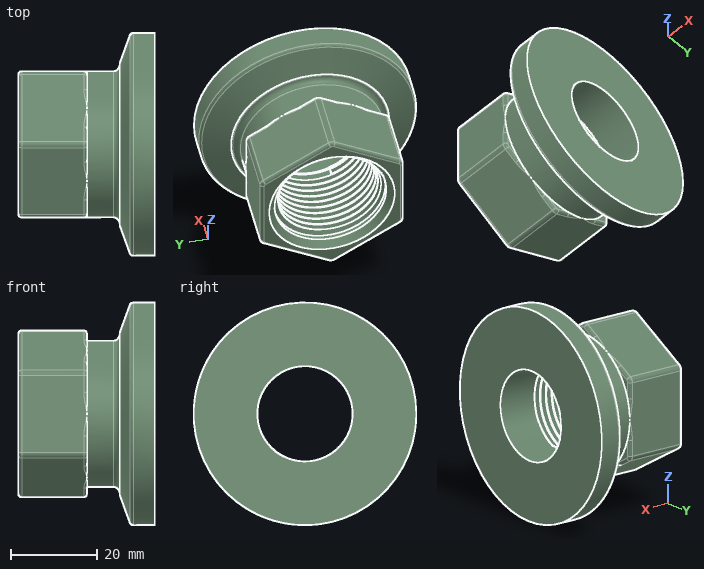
import cadquery as cq
import math

LENGTH = 31.75
BORE_DIA = 22.1

HEX_SIDES = 6
HEX_FLATS = 34.04
HEX_LENGTH = 16.0
HEX_CORNER_RADIUS = 1.5
HEX_EDGE_RADIUS = 0.8

NECK_DIA = HEX_FLATS
NECK_FILLET_RADIUS = 1.5

FLANGE_DIA = 51.82
FLANGE_RIM_START = 26.13
FLANGE_CONE_ANGLE = 20.0
FLANGE_SHOULDER_DIA = 37.7
FLANGE_EDGE_RADIUS = 0.8

ENTRY_DIA = 29.9
RELIEF_LENGTH = 1.2
THREAD_PITCH = 25.4 / 14
THREAD_ROOT_DIA = 26.6
THREAD_CREST_DIA = 24.1
THREAD_TAPER = 1 / 16
THREAD_GROOVE_WIDTH = 1.55
THREAD_END = 21.5

ENTRY_DEPTH = (ENTRY_DIA - THREAD_ROOT_DIA) / 2
RELIEF_END = ENTRY_DEPTH + RELIEF_LENGTH
THREAD_START = RELIEF_END + THREAD_GROOVE_WIDTH / 2
HELIX_START = ENTRY_DEPTH + THREAD_PITCH

FLAT_DISTANCE = HEX_FLATS / 2
EDGE_ROUND_REACH = math.sqrt(FLAT_DISTANCE**2 - (FLAT_DISTANCE - HEX_EDGE_RADIUS) ** 2)
EDGE_ROUND_STATIONS = (0.02, 0.4, 0.6, 0.8, 1.0)


def make_hexagon():
    """Hexagonal prism with flats facing +Y and -Y, all its corners and end edges rounded."""
    corner_dia = HEX_FLATS / math.cos(math.pi / HEX_SIDES)
    turn_flats_to_y = 180 / HEX_SIDES
    prism = (
        cq.Workplane("YZ")
        .transformed(rotate=(0, 0, turn_flats_to_y))
        .polygon(HEX_SIDES, corner_dia)
        .extrude(HEX_LENGTH)
    )
    prism = prism.edges("|X").fillet(HEX_CORNER_RADIUS)
    return prism.faces("<X or >X").edges().fillet(HEX_EDGE_RADIUS)


def make_edge_round_cutter():
    """Waste outside an edge round on the +Y flat that grows along +Z from almost nothing to full size.

    Each section is an arc tangent to the flat that meets the end face at the neck's surface.
    """
    radius = HEX_EDGE_RADIUS
    cutter = cq.Workplane("XY", origin=(HEX_LENGTH, FLAT_DISTANCE, 0))
    previous_z = 0
    for station in EDGE_ROUND_STATIONS:
        z = station * EDGE_ROUND_REACH
        drop = FLAT_DISTANCE - math.sqrt(FLAT_DISTANCE**2 - z**2)
        arc_angle = math.acos(1 - drop / radius)
        run = radius * math.sin(arc_angle)
        arc_middle = (
            radius * math.sin(arc_angle / 2) - run,
            radius * math.cos(arc_angle / 2) - radius,
        )
        cutter = (
            cutter.workplane(offset=z - previous_z)
            .moveTo(-run, 0)
            .threePointArc(arc_middle, (0, -drop))
            .lineTo(radius, -drop)
            .lineTo(radius, radius)
            .lineTo(-run, radius)
            .close()
        )
        previous_z = z
    return cutter.loft(combine=True)


def make_edge_fill():
    """Material on the +Y flat that fades the edge round out where the neck meets the flat."""
    size = HEX_EDGE_RADIUS
    block = cq.Workplane("XY").box(size, size, 2 * EDGE_ROUND_REACH)
    block = block.translate((HEX_LENGTH - size / 2, FLAT_DISTANCE - size / 2, 0))
    cutter = make_edge_round_cutter()
    return block.cut(cutter).cut(cutter.mirror("XY"))


def make_hex_body():
    """Rounded hexagon whose neck-side edge round fades out at the middle of every flat."""
    body = make_hexagon()
    fill = make_edge_fill()
    for side in range(HEX_SIDES):
        body = body.union(fill.rotate((0, 0, 0), (1, 0, 0), side * 360 / HEX_SIDES))
    return body


def make_flanged_neck():
    """Round neck running into the clamp flange with its conical back, turned about X."""
    neck_r = NECK_DIA / 2
    shoulder_r = FLANGE_SHOULDER_DIA / 2
    rim_r = FLANGE_DIA / 2
    neck_start = HEX_LENGTH / 2
    cone_length = (rim_r - shoulder_r) * math.tan(math.radians(FLANGE_CONE_ANGLE))
    shoulder_x = FLANGE_RIM_START - cone_length
    turned = (
        cq.Workplane("XY")
        .moveTo(neck_start, 0)
        .lineTo(neck_start, neck_r)
        .lineTo(shoulder_x, neck_r)
        .lineTo(shoulder_x, shoulder_r)
        .lineTo(FLANGE_RIM_START, rim_r)
        .lineTo(LENGTH, rim_r)
        .lineTo(LENGTH, 0)
        .close()
        .revolve(360, (0, 0, 0), (1, 0, 0))
    )
    reach = (neck_r + shoulder_r) / 2
    gap = cone_length / 2
    neck_corner = cq.selectors.BoxSelector(
        (shoulder_x - gap, -reach, -reach), (shoulder_x + gap, reach, reach), boundingbox=True
    )
    turned = turned.edges(neck_corner).fillet(NECK_FILLET_RADIUS)
    rim_edge = turned.edges(cq.selectors.RadiusNthSelector(-1)).edges("<X")
    return rim_edge.fillet(FLANGE_EDGE_RADIUS)


def make_bore():
    """Countersink, thread relief, tapered thread core and through bore as one turned cutter."""
    core_end_dia = THREAD_CREST_DIA - (THREAD_END - THREAD_START) * THREAD_TAPER
    return (
        cq.Workplane("XY")
        .lineTo(0, ENTRY_DIA / 2)
        .lineTo(ENTRY_DEPTH, THREAD_ROOT_DIA / 2)
        .lineTo(RELIEF_END, THREAD_ROOT_DIA / 2)
        .lineTo(THREAD_START, THREAD_CREST_DIA / 2)
        .lineTo(THREAD_END, core_end_dia / 2)
        .lineTo(THREAD_END, BORE_DIA / 2)
        .lineTo(LENGTH, BORE_DIA / 2)
        .lineTo(LENGTH, 0)
        .close()
        .revolve(360, (0, 0, 0), (1, 0, 0))
    )


def make_thread_groove():
    """V groove swept along a tapered right-hand helix that starts at the +Z side of the bore."""
    crest_r = THREAD_CREST_DIA / 2
    root_r = THREAD_ROOT_DIA / 2
    overlap = 0.5
    inner_r = crest_r - overlap
    inner_half_width = THREAD_GROOVE_WIDTH / 2 * (root_r - inner_r) / (root_r - crest_r)
    helix_length = THREAD_END - HELIX_START - THREAD_PITCH / 2
    taper_angle = math.degrees(math.atan(THREAD_TAPER / 2))
    helix = cq.Wire.makeHelix(THREAD_PITCH, helix_length, crest_r, angle=-taper_angle)
    groove = (
        cq.Workplane("XZ")
        .moveTo(inner_r, -inner_half_width)
        .lineTo(root_r, 0)
        .lineTo(inner_r, inner_half_width)
        .close()
        .sweep(cq.Workplane(helix), isFrenet=True)
    )
    groove = groove.rotate((0, 0, 0), (0, 1, 0), 90).rotate((0, 0, 0), (1, 0, 0), 180)
    return groove.translate((HELIX_START, 0, 0))


outside = make_hex_body().union(make_flanged_neck())
result = outside.cut(make_bore()).cut(make_thread_groove())